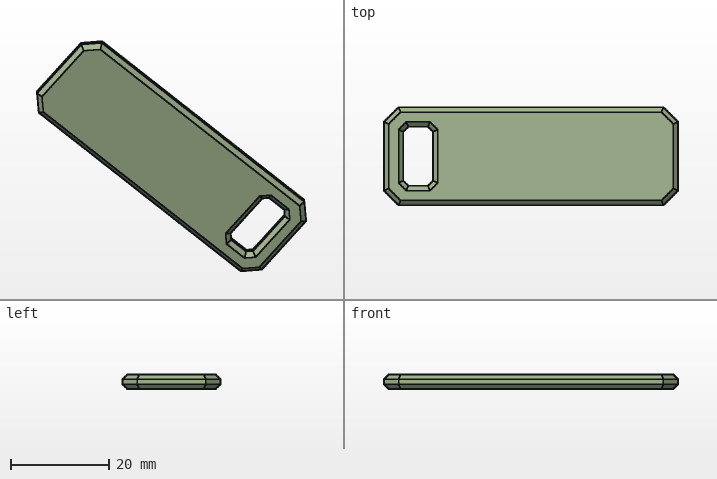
import cadquery as cq

LENGTH = 60.0
WIDTH = 20.0
THICKNESS = 3.0
CORNER_CUT = 3.0
EDGE_BEVEL = 1.0

RIM_MARGIN = 3.0
SLOT_LENGTH = 6.0
SLOT_WIDTH = WIDTH - 2 * (RIM_MARGIN + EDGE_BEVEL)
SLOT_CORNER_CUT = 1.0
SLOT_CENTER_X = -LENGTH / 2 + RIM_MARGIN + EDGE_BEVEL + SLOT_LENGTH / 2


def make_cut_corner_block(length, width, corner_cut):
    """Block of plate thickness, standing on Z = 0, with 45 degree cuts on its upright edges."""
    block = cq.Workplane("XY").box(length, width, THICKNESS, centered=(True, True, False))
    return block.edges("|Z").chamfer(corner_cut)


def make_slotted_blank():
    """Square-edged plate with the keyring slot cut through it near the -X end."""
    plate = make_cut_corner_block(LENGTH, WIDTH, CORNER_CUT)
    slot = make_cut_corner_block(SLOT_LENGTH, SLOT_WIDTH, SLOT_CORNER_CUT)
    return plate.cut(slot.translate((SLOT_CENTER_X, 0, 0)))


def bevel_faces(blank):
    """Bevel the plate outline and the slot mouth on both the top and bottom faces."""
    return blank.faces("<Z or >Z").edges().chamfer(EDGE_BEVEL)


result = bevel_faces(make_slotted_blank())